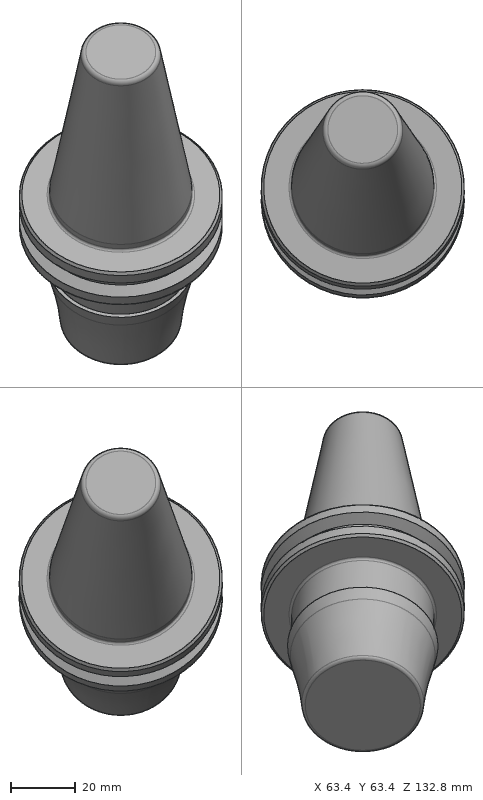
import cadquery as cq
import math

total_height = 132.8
taper_slope = 7 / 48
gauge_radius = 22.24
gauge_z = 64.5
shank_top_radius = gauge_radius - taper_slope * (total_height - gauge_z)
shank_top_fillet = 1.6

flange_radius = 31.7
flange_top_z = 61.6
flange_height = 16.0
flange_bottom_z = flange_top_z - flange_height
flange_chamfer = 0.8
neck_fillet = 0.8
groove_radius = 28.1
groove_middle_z = flange_top_z - flange_height / 2
groove_floor_width = 3.8
groove_mouth_width = 7.0

nose_top_z = 29.7
nose_top_radius = 23.5
skirt_top_z = 24.8
skirt_top_radius = 22.63
skirt_bottom_radius = 19.0
skirt_sag = 0.5
nose_end_fillet = 1.0


def make_shank_and_body():
    """Tapered shank, and the straight cylinder running from it down to the nose."""
    return (
        cq.Workplane("XZ")
        .moveTo(0, nose_top_z)
        .lineTo(gauge_radius, nose_top_z)
        .lineTo(gauge_radius, gauge_z)
        .lineTo(shank_top_radius, total_height)
        .lineTo(0, total_height)
        .close()
        .revolve(360, (0, 0, 0), (0, 1, 0))
        .faces(">Z")
        .edges()
        .fillet(shank_top_fillet)
    )


def make_flange():
    """Chamfered disc with a trapezoidal groove around its rim."""
    disc = (
        cq.Workplane("XY", origin=(0, 0, flange_bottom_z))
        .circle(flange_radius)
        .extrude(flange_height)
        .edges()
        .chamfer(flange_chamfer)
    )
    groove = (
        cq.Workplane("XZ")
        .moveTo(groove_radius, groove_middle_z - groove_floor_width / 2)
        .lineTo(flange_radius, groove_middle_z - groove_mouth_width / 2)
        .lineTo(flange_radius, groove_middle_z + groove_mouth_width / 2)
        .lineTo(groove_radius, groove_middle_z + groove_floor_width / 2)
        .close()
        .revolve(360, (0, 0, 0), (0, 1, 0))
    )
    return disc.cut(groove)


def make_neck_fillet(flange_face_z, direction):
    """Concave ring blending a flange face into the body; direction is +1 up or -1 down."""
    arc_offset = neck_fillet * (1 - math.sqrt(0.5))
    return (
        cq.Workplane("XZ")
        .moveTo(0, flange_face_z)
        .lineTo(gauge_radius + neck_fillet, flange_face_z)
        .threePointArc(
            (gauge_radius + arc_offset, flange_face_z + direction * arc_offset),
            (gauge_radius, flange_face_z + direction * neck_fillet),
        )
        .lineTo(0, flange_face_z + direction * neck_fillet)
        .close()
        .revolve(360, (0, 0, 0), (0, 1, 0))
    )


def make_nose():
    """Conical collar and concave skirt with a rounded lower end."""
    skirt_middle_radius = (skirt_top_radius + skirt_bottom_radius) / 2 - skirt_sag
    return (
        cq.Workplane("XZ")
        .lineTo(skirt_bottom_radius, 0)
        .threePointArc((skirt_middle_radius, skirt_top_z / 2), (skirt_top_radius, skirt_top_z))
        .lineTo(nose_top_radius, nose_top_z)
        .lineTo(0, nose_top_z)
        .close()
        .revolve(360, (0, 0, 0), (0, 1, 0))
        .faces("<Z")
        .edges()
        .fillet(nose_end_fillet)
    )


result = (
    make_shank_and_body()
    .union(make_flange())
    .union(make_neck_fillet(flange_top_z, 1))
    .union(make_neck_fillet(flange_bottom_z, -1))
    .union(make_nose())
)